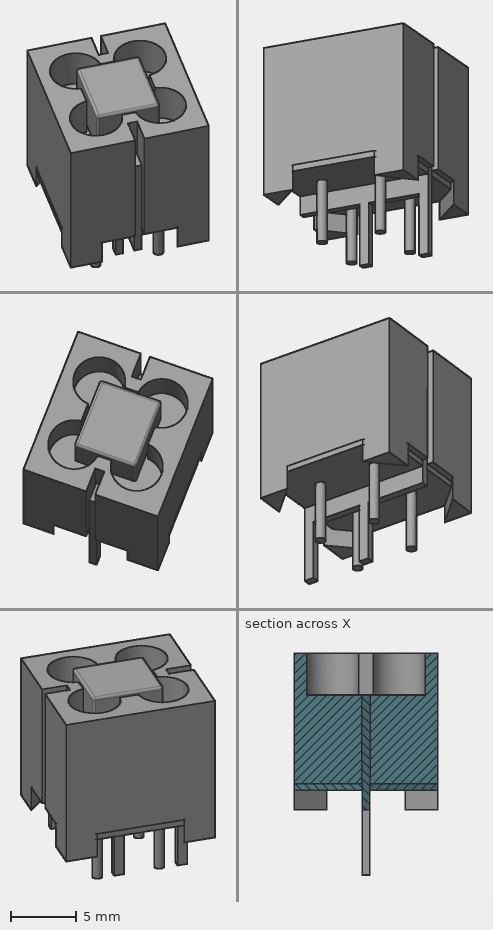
import cadquery as cq

HOUSING_X = 12.0
HOUSING_Y = 11.0
HOUSING_Z = 12.0

FOOT_HEIGHT = 2.0
FOOT_SIDE = 2.5

BLADE_X = 11.0
BLADE_THICKNESS = 0.6
BLADE_TOP_Z = 8.8
LEG_WIDTH = 0.8
LEG_LENGTH = 5.0

GUIDE_SLOT_WIDTH = 0.74
GUIDE_SLOT_DEPTH = 2.0

BASE_THICKNESS = 0.5
BASE_X = BLADE_X
BASE_BOTTOM_Z = FOOT_HEIGHT - BASE_THICKNESS
PIN_DIAMETER = 0.8
PIN_LENGTH = 5.0
PIN_PITCH = 5.0

CAP_X = 5.7
CAP_Y = 5.0
CAP_TOP_Z = 12.2
CAP_ROUNDING = 0.2

WELL_X = 5.95
WELL_Y = 5.45
WELL_FLOOR_Z = BLADE_TOP_Z
LOBE_RADIUS = 2.0
LOBE_PITCH_X = 5.48
LOBE_PITCH_Y = 5.1


def block(size_x, size_y, bottom_z, top_z, center_x=0.0, center_y=0.0):
    """Upright block between two heights, centred on a point in plan."""
    blank = cq.Workplane("XY").box(size_x, size_y, top_z - bottom_z, centered=(True, True, False))
    return blank.translate((center_x, center_y, bottom_z))


def recess_space(bottom_z, top_z):
    """Housing footprint without the triangular feet, between two heights."""
    footprint = block(HOUSING_X, HOUSING_Y, bottom_z, top_z)
    return footprint.edges("|Z").chamfer(FOOT_SIDE)


def make_blade():
    blade = block(BLADE_X, BLADE_THICKNESS, 0.0, BLADE_TOP_Z)
    outer_leg_x = (LEG_WIDTH - BLADE_X) / 2
    middle_leg_x = 0.0
    for leg_x in (outer_leg_x, middle_leg_x):
        blade = blade.union(block(LEG_WIDTH, BLADE_THICKNESS, -LEG_LENGTH, 0.0, leg_x))
    return blade


def make_well():
    lobes = (
        cq.Workplane("XY", origin=(0, 0, WELL_FLOOR_Z))
        .rarray(LOBE_PITCH_X, LOBE_PITCH_Y, 2, 2)
        .circle(LOBE_RADIUS)
        .extrude(HOUSING_Z - WELL_FLOOR_Z)
    )
    return block(WELL_X, WELL_Y, WELL_FLOOR_Z, HOUSING_Z).union(lobes)


def make_housing(blade):
    housing = block(HOUSING_X, HOUSING_Y, 0.0, HOUSING_Z)
    housing = housing.cut(recess_space(0.0, FOOT_HEIGHT))
    housing = housing.cut(make_well())
    for side in (-1, 1):
        slot_x = side * (HOUSING_X - GUIDE_SLOT_DEPTH) / 2
        housing = housing.cut(block(GUIDE_SLOT_DEPTH, GUIDE_SLOT_WIDTH, 0.0, HOUSING_Z, slot_x))
    return housing.cut(blade)


def make_base_half(side):
    """Half of the base plate on the -Y (side = -1) or +Y (side = 1) face of the blade, with its two pins."""
    half_y = (HOUSING_Y - BLADE_THICKNESS) / 2
    half_center_y = side * (HOUSING_Y + BLADE_THICKNESS) / 4
    side_block = block(BASE_X, half_y, BASE_BOTTOM_Z, FOOT_HEIGHT, center_y=half_center_y)
    half = recess_space(BASE_BOTTOM_Z, FOOT_HEIGHT).intersect(side_block)
    pins = (
        cq.Workplane("XY", origin=(0, side * PIN_PITCH / 2, BASE_BOTTOM_Z))
        .rarray(PIN_PITCH, PIN_PITCH, 2, 1)
        .circle(PIN_DIAMETER / 2)
        .extrude(-PIN_LENGTH)
    )
    return half.union(pins)


def make_cap():
    cap = block(CAP_X, CAP_Y, WELL_FLOOR_Z, CAP_TOP_Z)
    return cap.edges("|Z or >Z").fillet(CAP_ROUNDING)


blade = make_blade()
housing = make_housing(blade)
cap = make_cap()
base_halves = [make_base_half(side) for side in (-1, 1)]

result = cq.Compound.makeCompound(
    [housing.val(), blade.val(), cap.val(), *[half.val() for half in base_halves]]
)